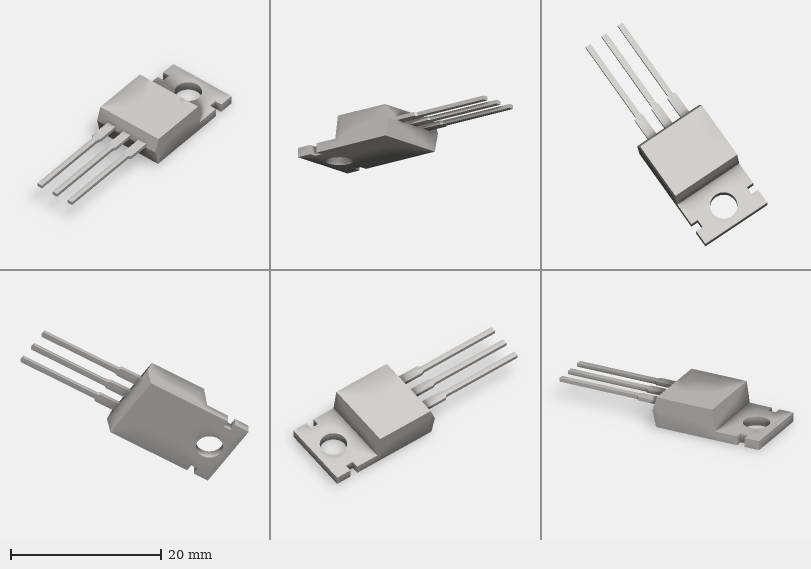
import cadquery as cq

width = 10.0
length = 31
height = 4.4

tab_length = 6.57
tab_thickness = 1.3
hole_diameter = 3.65
hole_from_end = 2.98
notch_from_end = 2.17
notch_length = 1.12
notch_depth = 1.02

rear_y = length - tab_length
rear_slope_start_z = 1.2
rear_top_setback = 0.45
front_edge_y = length - 16.0
front_edge_z = 2.42
front_top_setback = 0.68
front_bottom_setback = 0.55

lead_thickness = 0.53
shoulder_end_y = 12.0
taper_length = 0.28
middle_shoulder_half_width = 0.62
middle_blade_half_width = 0.4
outer_shoulder_inner_x = 1.98
outer_shoulder_outer_x = 3.32
outer_blade_inner_x = 2.2
outer_blade_outer_x = 2.98


def make_tab():
    """Flat tab with a mounting hole and a notch in each long side."""
    tab = cq.Workplane("XY").box(width, tab_length, tab_thickness, centered=(True, False, False))
    tab = tab.translate((0, rear_y, 0))
    hole = (
        cq.Workplane("XY")
        .center(0, length - hole_from_end)
        .circle(hole_diameter / 2)
        .extrude(tab_thickness)
    )
    notches = (
        cq.Workplane("XY")
        .pushPoints([(side * width / 2, length - notch_from_end - notch_length / 2) for side in (-1, 1)])
        .rect(2 * notch_depth, notch_length)
        .extrude(tab_thickness)
    )
    return tab.cut(hole).cut(notches)


def make_housing():
    """Moulded housing: a side profile with drafted ends, extruded across the width."""
    profile = [
        (rear_y, 0),
        (rear_y, rear_slope_start_z),
        (rear_y - rear_top_setback, height),
        (front_edge_y + front_top_setback, height),
        (front_edge_y, front_edge_z),
        (front_edge_y + front_bottom_setback, 0),
    ]
    return cq.Workplane("YZ").polyline(profile).close().extrude(width / 2, both=True)


def make_lead(shoulder_left, shoulder_right, blade_left, blade_right):
    """Flat lead with a wide shoulder, ending flush on the sloping front of the housing."""
    blade_start_y = shoulder_end_y - taper_length
    root_y = front_edge_y + front_top_setback
    outline = [
        (shoulder_left, root_y),
        (shoulder_left, shoulder_end_y),
        (blade_left, blade_start_y),
        (blade_left, 0),
        (blade_right, 0),
        (blade_right, blade_start_y),
        (shoulder_right, shoulder_end_y),
        (shoulder_right, root_y),
    ]
    blank = (
        cq.Workplane("XY", origin=(0, 0, front_edge_z))
        .polyline(outline)
        .close()
        .extrude(lead_thickness)
    )
    return blank.cut(make_housing())


tab = make_tab()
housing = make_housing()

lead_edges = [
    (-outer_shoulder_outer_x, -outer_shoulder_inner_x, -outer_blade_outer_x, -outer_blade_inner_x),
    (
        -middle_shoulder_half_width,
        middle_shoulder_half_width,
        -middle_blade_half_width,
        middle_blade_half_width,
    ),
    (outer_shoulder_inner_x, outer_shoulder_outer_x, outer_blade_inner_x, outer_blade_outer_x),
]
leads = [make_lead(*edges) for edges in lead_edges]

result = cq.Compound.makeCompound([tab.val(), housing.val(), *[lead.val() for lead in leads]])